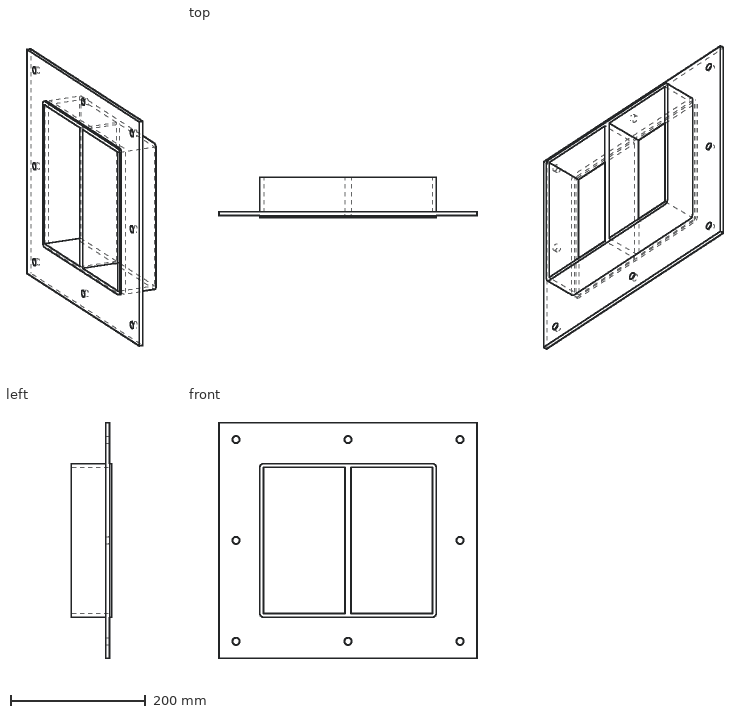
import cadquery as cq

plate_width = 383.0
plate_height = 350.0
plate_thickness = 6.0

sleeve_width = 262.0
sleeve_height = 228.3
sleeve_depth = 60.0
sleeve_corner_radius = 6.0
sleeve_wall = 5.7
front_projection = 3.0

divider_thickness = 9.2

hole_diameter = 10.5
hole_edge_distance = 25.3

window_width = (sleeve_width - 2 * sleeve_wall - divider_thickness) / 2
window_height = sleeve_height - 2 * sleeve_wall
window_offset = (window_width + divider_thickness) / 2
hole_offset_x = plate_width / 2 - hole_edge_distance
hole_offset_z = plate_height / 2 - hole_edge_distance


def block(width, depth, height, front):
    """Box centred in X and Z, reaching from Y = front towards +Y."""
    return cq.Workplane("XY").box(width, depth, height).translate((0, front + depth / 2, 0))


plate = block(plate_width, plate_thickness, plate_height, front_projection)
sleeve = block(sleeve_width, sleeve_depth, sleeve_height, 0)
sleeve = sleeve.edges("|Y").fillet(sleeve_corner_radius)
body = plate.union(sleeve)

for side in (-1, 1):
    window = block(window_width, sleeve_depth, window_height, 0)
    body = body.cut(window.translate((side * window_offset, 0, 0)))

hole_points = [
    (column * hole_offset_x, row * hole_offset_z)
    for column in (-1, 0, 1)
    for row in (-1, 0, 1)
    if (column, row) != (0, 0)
]
holes = (
    cq.Workplane("XZ")
    .pushPoints(hole_points)
    .circle(hole_diameter / 2)
    .extrude(-sleeve_depth)
)

result = body.cut(holes)